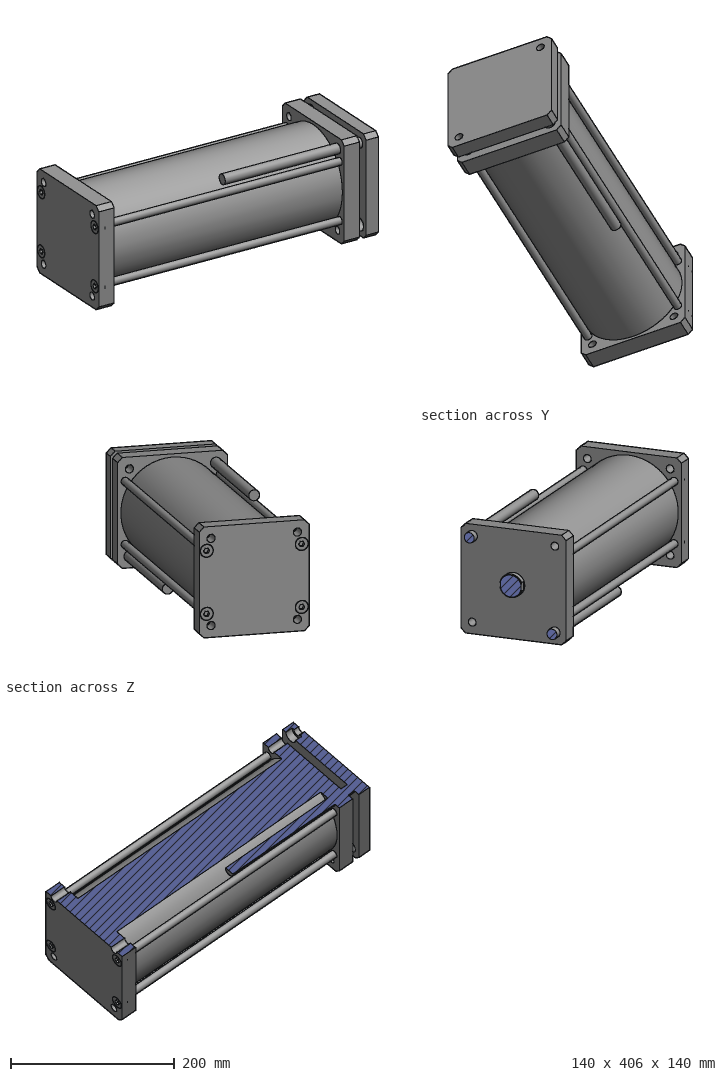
import cadquery as cq

length = 406.0
plate_side = 140.0
corner_chamfer = 6.0
end_plate_thickness = 22.5
tool_plate_thickness = 18.0
gap = 9.7

tube_diameter = 132.0
piston_diameter = 30.0
piston_flats_width = 28.0
piston_flats_length = 8.5
piston_chamfer_length = 2.0
piston_chamfer_depth = 1.1

guide_spacing = 110.0
guide_diameter = 14.0
guide_length = 199.5
hole_diameter = 10.0
tool_counterbore_diameter = 17.0
tool_counterbore_depth = 10.0

tie_spacing_x = 121.0
tie_spacing_z = 79.5
tie_diameter = 10.0
screw_counterbore_diameter = 16.5
screw_head_diameter = 16.0
screw_head_height = 10.0
socket_corner_diameter = 7.5
socket_depth = 5.0

rear_face = -length / 2
tube_rear = rear_face + end_plate_thickness
tool_plate_rear = length / 2 - tool_plate_thickness
head_front = tool_plate_rear - gap
head_rear = head_front - end_plate_thickness
tube_length = head_rear - tube_rear


def plane_at(y):
    """XZ plane at the given Y whose local axes are X and Z; its normal is -Y."""
    return cq.Workplane("XZ", origin=(0, y, 0))


def plate(rear, thickness):
    square = plane_at(rear).rect(plate_side, plate_side).extrude(-thickness)
    return square.edges("|Y").chamfer(corner_chamfer)


def cylinders(points, diameter, rear, height):
    return plane_at(rear).pushPoints(points).circle(diameter / 2).extrude(-height)


def piston_rod():
    """Rod end with a chamfered tip and two wrench flats facing +X and -X."""
    rod = cylinders([(0, 0)], piston_diameter, head_front, gap)
    rod = rod.faces(">Y").chamfer(piston_chamfer_length, piston_chamfer_depth)
    flats_rear = tool_plate_rear - piston_flats_length
    flatted_end = plane_at(flats_rear).rect(piston_flats_width, piston_diameter).extrude(-piston_flats_length)
    round_end = cylinders([(0, 0)], piston_diameter, flats_rear, piston_flats_length)
    return rod.cut(round_end.cut(flatted_end))


guide_offset = guide_spacing / 2
guide_points = [(guide_offset, guide_offset), (-guide_offset, -guide_offset)]
free_points = [(-guide_offset, guide_offset), (guide_offset, -guide_offset)]
tie_points = [(x * tie_spacing_x / 2, z * tie_spacing_z / 2) for x in (-1, 1) for z in (-1, 1)]

result = plate(rear_face, end_plate_thickness)
result = result.union(plate(head_rear, end_plate_thickness))
result = result.union(plate(tool_plate_rear, tool_plate_thickness))
result = result.union(cylinders([(0, 0)], tube_diameter, tube_rear, tube_length))
result = result.union(cylinders(tie_points, tie_diameter, tube_rear, tube_length))

result = result.cut(cylinders(guide_points, hole_diameter, rear_face, end_plate_thickness))
result = result.cut(cylinders(free_points, hole_diameter, rear_face, length))
result = result.cut(
    cylinders(free_points, tool_counterbore_diameter, tool_plate_rear, tool_counterbore_depth)
)

result = result.union(piston_rod())
guide_rear = tool_plate_rear - guide_length
result = result.union(cylinders(guide_points, guide_diameter, guide_rear, guide_length))

clearance = cylinders(tie_points, screw_counterbore_diameter, rear_face, screw_head_height)
clearance = clearance.cut(cylinders(tie_points, screw_head_diameter, rear_face, screw_head_height))
sockets = plane_at(rear_face).pushPoints(tie_points).polygon(6, socket_corner_diameter).extrude(-socket_depth)
result = result.cut(clearance).cut(sockets)